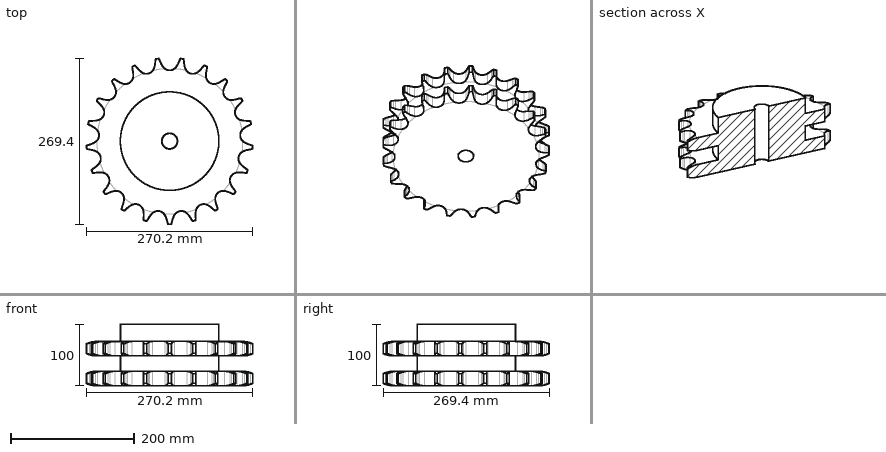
import cadquery as cq
import math


pitch = 38.1
roller_diameter = 25.4

tooth_count = 21
rim_count = 2
rim_width = 23.6
width_over_rims = 72
row_spacing = (width_over_rims - rim_width) / (rim_count - 1)
tip_radius = 135.3

tooth_angle = 360 / tooth_count
pitch_radius = pitch / (2 * math.sin(math.radians(tooth_angle / 2)))
seat_clearance = 0.0381
seat_radius = (1.005 * roller_diameter + 2 * seat_clearance) / 2
seat_sweep = 90 - (35 + 60 / tooth_count)
working_offset = 0.8 * roller_diameter
working_radius = working_offset + seat_radius
working_sweep = 18 - 56 / tooth_count
topping_angle = 17 - 64 / tooth_count
topping_offset = 1.4 * roller_diameter
flank_length = (
    topping_offset * math.sin(math.radians(topping_angle))
    - working_offset * math.sin(math.radians(working_sweep))
)
topping_radius = (
    working_offset * math.cos(math.radians(working_sweep))
    + topping_offset * math.cos(math.radians(topping_angle))
    - working_radius
)
topping_sweep = 20

relief_start_radius = 118.3
relief_arc_radius = pitch

hub_diameter = 160
hub_height = 100
bore_diameter = 25


def make_blank():
    """Rim disc whose two faces curve towards each other near the tooth tips."""
    reach = tip_radius - relief_start_radius

    def relief_drop(distance):
        return relief_arc_radius - math.sqrt(relief_arc_radius**2 - distance**2)

    middle_drop = relief_drop(reach / 2)
    tip_drop = relief_drop(reach)
    middle_radius = relief_start_radius + reach / 2
    return (
        cq.Workplane("XZ")
        .lineTo(relief_start_radius, 0)
        .threePointArc((middle_radius, middle_drop), (tip_radius, tip_drop))
        .lineTo(tip_radius, rim_width - tip_drop)
        .threePointArc((middle_radius, rim_width - middle_drop), (relief_start_radius, rim_width))
        .lineTo(0, rim_width)
        .close()
        .revolve(360, (0, 0, 0), (0, 1, 0))
    )


def polar(centre, radius, angle):
    """Point on a circle, with the angle in degrees from -Y towards +X."""
    turn = math.radians(angle)
    return centre[0] + radius * math.sin(turn), centre[1] - radius * math.cos(turn)


def mirrored(point):
    return -point[0], point[1]


def make_gap_cutter():
    """Prism with the shape of the tooth gap centred on +Y."""
    roller_centre = (0, pitch_radius)
    flank_turn = seat_sweep + working_sweep
    seat_bottom = polar(roller_centre, seat_radius, 0)
    seat_middle = polar(roller_centre, seat_radius, seat_sweep / 2)
    seat_end = polar(roller_centre, seat_radius, seat_sweep)

    working_centre = polar(roller_centre, seat_radius - working_radius, seat_sweep)
    working_middle = polar(working_centre, working_radius, seat_sweep + working_sweep / 2)
    working_end = polar(working_centre, working_radius, flank_turn)

    flank_end = polar(working_end, flank_length, flank_turn + 90)

    topping_centre = polar(flank_end, topping_radius, flank_turn)
    topping_middle = polar(topping_centre, -topping_radius, flank_turn - topping_sweep / 2)
    topping_end = polar(topping_centre, -topping_radius, flank_turn - topping_sweep)

    return (
        cq.Workplane("XY")
        .moveTo(*seat_bottom)
        .threePointArc(seat_middle, seat_end)
        .threePointArc(working_middle, working_end)
        .lineTo(*flank_end)
        .threePointArc(topping_middle, topping_end)
        .lineTo(*mirrored(topping_end))
        .threePointArc(mirrored(topping_middle), mirrored(flank_end))
        .lineTo(*mirrored(working_end))
        .threePointArc(mirrored(working_middle), mirrored(seat_end))
        .threePointArc(mirrored(seat_middle), seat_bottom)
        .close()
        .extrude(rim_width)
    )


def make_rim():
    """Toothed rim with a gap on +Y and, because the tooth count is odd, a tooth on -Y."""
    rim = make_blank()
    gap_cutter = make_gap_cutter()
    for index in range(tooth_count):
        rim = rim.cut(gap_cutter.rotate((0, 0, 0), (0, 0, 1), index * tooth_angle))
    return rim


def make_sprocket():
    sprocket = cq.Workplane("XY").circle(hub_diameter / 2).extrude(hub_height)
    rim = make_rim()
    for row in range(rim_count):
        sprocket = sprocket.union(rim.translate((0, 0, row * row_spacing)))
    bore = cq.Workplane("XY").circle(bore_diameter / 2).extrude(hub_height)
    return sprocket.cut(bore)


result = make_sprocket()